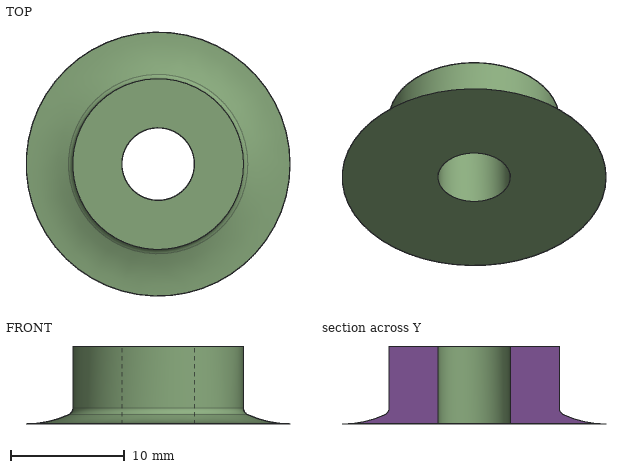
import cadquery as cq
import math

total_height = 6.8
hub_diameter = 15.0
bore_diameter = 6.35
flange_diameter = 23.2
flange_curve_radius = 9.0
root_fillet_radius = 0.65

hub_radius = hub_diameter / 2
bore_radius = bore_diameter / 2
flange_radius = flange_diameter / 2

fillet_center_r = hub_radius + root_fillet_radius
center_distance = flange_curve_radius - root_fillet_radius
center_offset_r = flange_radius - fillet_center_r
center_angle = math.asin(center_offset_r / center_distance)
fillet_center_z = flange_curve_radius - center_distance * math.cos(center_angle)


def point_on_arc(center, radius, angle):
    """Point on an arc, with the angle measured from straight down towards the axis."""
    return (center[0] - radius * math.sin(angle), center[1] - radius * math.cos(angle))


def make_half_section():
    """Half section in the XZ plane, from the bore wall out to the flange rim."""
    flange_center = (flange_radius, flange_curve_radius)
    fillet_center = (fillet_center_r, fillet_center_z)
    wall_angle = math.pi / 2

    flange_mid = point_on_arc(flange_center, flange_curve_radius, center_angle / 2)
    blend_start = point_on_arc(flange_center, flange_curve_radius, center_angle)
    fillet_mid = point_on_arc(fillet_center, root_fillet_radius, (center_angle + wall_angle) / 2)
    fillet_end = (hub_radius, fillet_center_z)

    return (
        cq.Workplane("XZ")
        .moveTo(bore_radius, 0)
        .lineTo(flange_radius, 0)
        .threePointArc(flange_mid, blend_start)
        .threePointArc(fillet_mid, fillet_end)
        .lineTo(hub_radius, total_height)
        .lineTo(bore_radius, total_height)
        .close()
    )


result = make_half_section().revolve(360, (0, 0, 0), (0, 1, 0))